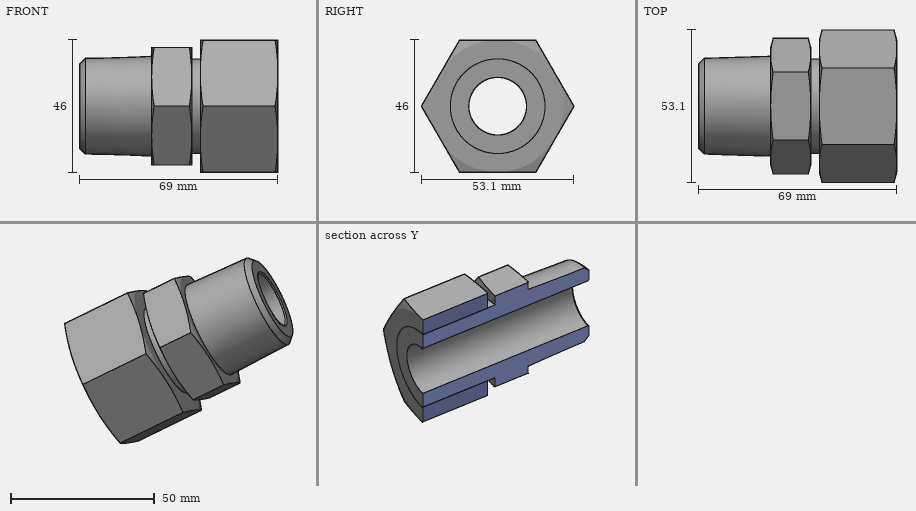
import cadquery as cq
import math

overall_length = 69.0
inlet_end = -overall_length / 2
nut_end = overall_length / 2
taper_length = 25.1
hex_length = 13.95
nut_length = 27.0
hex_start = inlet_end + taper_length
nut_start = nut_end - nut_length

bore_diameter = 20.0
bore_chamfer = 0.5
thread_diameter = 33.4
thread_chamfer = 2.0
thread_taper = 1 / 16
neck_diameter = 33.0

hex_across_flats = 41.0
nut_across_flats = 46.0
corner_chamfer_angle = 15.0


def cylinder_along_x(diameter, start, length):
    """Solid cylinder centred on the X axis, from start towards +X."""
    return cq.Workplane("YZ", origin=(start, 0, 0)).circle(diameter / 2).extrude(length)


def chamfered_hexagon(across_flats, start, length):
    """Hexagonal prism along X, corners on +Y and -Y, coned at both ends from its inscribed circle."""
    across_corners = across_flats / math.cos(math.radians(30))
    prism = cq.Workplane("YZ", origin=(start, 0, 0)).polygon(6, across_corners).extrude(length)
    flat_radius = across_flats / 2
    corner_radius = across_corners / 2
    cone_depth = (corner_radius - flat_radius) * math.tan(math.radians(corner_chamfer_angle))
    envelope = (
        cq.Workplane("XY")
        .moveTo(start, 0)
        .lineTo(start, flat_radius)
        .lineTo(start + cone_depth, corner_radius)
        .lineTo(start + length - cone_depth, corner_radius)
        .lineTo(start + length, flat_radius)
        .lineTo(start + length, 0)
        .close()
        .revolve(360, (0, 0, 0), (1, 0, 0))
    )
    return prism.intersect(envelope)


def tapered_end():
    """Taper-threaded end, modelled as a plain cone with a chamfered rim."""
    small_radius = thread_diameter / 2
    cone_length = taper_length - thread_chamfer
    large_radius = small_radius + cone_length * thread_taper / 2
    return (
        cq.Workplane("XY")
        .moveTo(inlet_end, 0)
        .lineTo(inlet_end, small_radius - thread_chamfer)
        .lineTo(inlet_end + thread_chamfer, small_radius)
        .lineTo(hex_start, large_radius)
        .lineTo(hex_start, 0)
        .close()
        .revolve(360, (0, 0, 0), (1, 0, 0))
    )


def make_fitting_body():
    """Tapered end, hexagon and a neck that reaches through the nut, with one bore through all."""
    neck = cylinder_along_x(neck_diameter, hex_start, nut_end - hex_start)
    hexagon = chamfered_hexagon(hex_across_flats, hex_start, hex_length)
    bore = cylinder_along_x(bore_diameter, inlet_end, overall_length)
    inlet_chamfer = cq.Workplane(
        cq.Solid.makeCone(
            bore_diameter / 2 + bore_chamfer,
            bore_diameter / 2,
            bore_chamfer,
            pnt=cq.Vector(inlet_end, 0, 0),
            dir=cq.Vector(1, 0, 0),
        )
    )
    return tapered_end().union(hexagon).union(neck).cut(bore).cut(inlet_chamfer)


def make_nut():
    """Hexagonal nut with a plain hole that fits the neck."""
    hole = cylinder_along_x(neck_diameter, nut_start, nut_length)
    return chamfered_hexagon(nut_across_flats, nut_start, nut_length).cut(hole)


fitting_body = make_fitting_body()
nut = make_nut()

result = cq.Compound.makeCompound([fitting_body.val(), nut.val()])